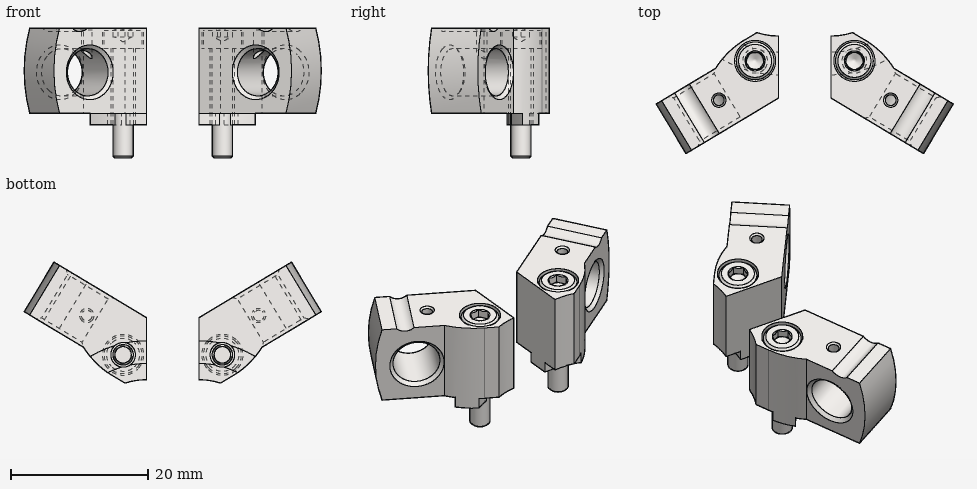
import cadquery as cq
import math


INNER_FACE_X = 3.8
BLOCK_HEIGHT = 12.45
ARM_ANGLE = 31.0
HALF_SPAN = 21.7
ARM_WIDTH = 8.45
END_BULGE = 0.95
APEX_X = 7.0
SHOULDER_LENGTH = 2.13
BOSS_END_ALONG = 5.65
BOSS_RADIUS = 12.5

RING_CENTER_Y = 19.35
RELIEF_RADIUS = 10.3
TAB_BACK_RADIUS = 12.65
TAB_FRONT_RADIUS = 15.95
TAB_HEIGHT = 1.7

BORE_DIAMETER = 6.9
BORE_RIM_DIAMETER = 8.0
BORE_ALONG = 9.68
BORE_Z = 6.0

GROOVE_DIAMETER = 3.6
GROOVE_DEPTH = 0.5
GROOVE_ALONG = 11.35

SET_HOLE_DIAMETER = 1.55
SET_HOLE_RIM_DIAMETER = 2.1
SET_HOLE_ALONG = 7.65

SCREW_X = 7.25
SCREW_Y = 5.42
HEAD_DIAMETER = 5.5
HEAD_HEIGHT = 3.0
HEAD_CHAMFER = 0.35
SHANK_DIAMETER = 3.0
SHANK_LENGTH = 16.0
SHANK_CHAMFER = 0.3
SOCKET_WIDTH = 2.5
SOCKET_DEPTH = 1.3
SOCKET_RIM_DIAMETER = 2.9
SOCKET_TIP_ANGLE = 120.0
COUNTERBORE_DIAMETER = 6.0
CLEARANCE_DIAMETER = 3.6

SIN = math.sin(math.radians(ARM_ANGLE))
COS = math.cos(math.radians(ARM_ANGLE))
ARM_LENGTH = (HALF_SPAN - INNER_FACE_X - ARM_WIDTH * SIN) / COS


def on_arm(along, across):
    """XY point at a distance along the front face and a distance behind it."""
    return INNER_FACE_X + along * COS + across * SIN, across * COS - along * SIN


def arm_frame(along, z):
    """Workplane on the front face: local X along the arm, local Y up, normal out of the face."""
    x, y = on_arm(along, 0)
    return cq.Workplane(cq.Plane(origin=(x, y, z), xDir=(COS, -SIN, 0), normal=(-SIN, -COS, 0)))


def relief_point(turn):
    """XY point on the relief arc, at an angle from the inner face plane."""
    return (
        INNER_FACE_X + RELIEF_RADIUS * math.sin(turn),
        RING_CENTER_Y - RELIEF_RADIUS * math.cos(turn),
    )


def block_outline():
    """Plan of the block, running on to the crest of the rounded end."""
    apex_turn = math.asin((APEX_X - INNER_FACE_X) / RELIEF_RADIUS)
    apex = relief_point(apex_turn)
    shoulder_end = (apex[0] + SHOULDER_LENGTH * COS, apex[1] - SHOULDER_LENGTH * SIN)
    return (
        cq.Workplane("XY")
        .moveTo(INNER_FACE_X, 0)
        .lineTo(*on_arm(ARM_LENGTH, 0))
        .lineTo(*on_arm(ARM_LENGTH, ARM_WIDTH))
        .lineTo(*on_arm(BOSS_END_ALONG, ARM_WIDTH))
        .radiusArc(shoulder_end, -BOSS_RADIUS)
        .lineTo(*apex)
        .threePointArc(relief_point(apex_turn / 2), relief_point(0))
        .close()
    )


def rounded_end():
    """Side profile of the arm, extruded through the width, whose far end is an arc."""
    far = ARM_LENGTH
    near = -far
    depth = 2 * far
    return (
        arm_frame(0, 0)
        .moveTo(near, 0)
        .lineTo(far - END_BULGE, 0)
        .threePointArc((far, BLOCK_HEIGHT / 2), (far - END_BULGE, BLOCK_HEIGHT))
        .lineTo(near, BLOCK_HEIGHT)
        .close()
        .extrude(-depth)
    )


def tab():
    """Curved tab under the block: a ring around the relief centre, trimmed to the outline."""
    ring = (
        cq.Workplane("XY", origin=(INNER_FACE_X, RING_CENTER_Y, -TAB_HEIGHT))
        .circle(TAB_FRONT_RADIUS)
        .circle(TAB_BACK_RADIUS)
        .extrude(TAB_HEIGHT)
    )
    return block_outline().extrude(-TAB_HEIGHT).intersect(ring)


def cone(x, y, z, bottom_diameter, top_diameter, height):
    """Upright cone or frustum standing at z."""
    return cq.Workplane(
        cq.Solid.makeCone(bottom_diameter / 2, top_diameter / 2, height, cq.Vector(x, y, z))
    )


def cross_bore():
    """Bore square to the arm, with a 45 degree rim at both ends."""
    rim = (BORE_RIM_DIAMETER - BORE_DIAMETER) / 2
    half = [
        (0, 0),
        (BORE_RIM_DIAMETER / 2, 0),
        (BORE_DIAMETER / 2, rim),
        (BORE_DIAMETER / 2, ARM_WIDTH - rim),
        (BORE_RIM_DIAMETER / 2, ARM_WIDTH),
        (0, ARM_WIDTH),
    ]
    x, y = on_arm(BORE_ALONG, 0)
    plane = cq.Plane(origin=(x, y, BORE_Z), xDir=(COS, -SIN, 0), normal=(0, 0, 1))
    return cq.Workplane(plane).polyline(half).close().revolve(360, (0, 0), (0, 1))


def groove():
    """Round-bottomed groove across the top of the arm."""
    axis_z = BLOCK_HEIGHT - GROOVE_DEPTH + GROOVE_DIAMETER / 2
    return arm_frame(GROOVE_ALONG, axis_z).circle(GROOVE_DIAMETER / 2).extrude(-ARM_WIDTH)


def set_screw_hole():
    """Small hole in the middle of the arm width, reaching the cross bore."""
    x, y = on_arm(SET_HOLE_ALONG, ARM_WIDTH / 2)
    hole = (
        cq.Workplane("XY", origin=(x, y, BORE_Z))
        .circle(SET_HOLE_DIAMETER / 2)
        .extrude(BLOCK_HEIGHT - BORE_Z)
    )
    rim = (SET_HOLE_RIM_DIAMETER - SET_HOLE_DIAMETER) / 2
    return hole.union(cone(x, y, BLOCK_HEIGHT - rim, SET_HOLE_DIAMETER, SET_HOLE_RIM_DIAMETER, rim))


def screw_hole():
    """Clearance hole through block and tab with a counterbore for the screw head."""
    clearance = (
        cq.Workplane("XY", origin=(SCREW_X, SCREW_Y, -TAB_HEIGHT))
        .circle(CLEARANCE_DIAMETER / 2)
        .extrude(TAB_HEIGHT + BLOCK_HEIGHT)
    )
    counterbore = (
        cq.Workplane("XY", origin=(SCREW_X, SCREW_Y, BLOCK_HEIGHT - HEAD_HEIGHT))
        .circle(COUNTERBORE_DIAMETER / 2)
        .extrude(HEAD_HEIGHT)
    )
    return clearance.union(counterbore)


def make_clamp():
    """Clamp block on the +X side."""
    block = block_outline().extrude(BLOCK_HEIGHT).intersect(rounded_end())
    block = block.union(tab())
    for cutter in (cross_bore(), groove(), set_screw_hole(), screw_hole()):
        block = block.cut(cutter)
    return block


def make_screw():
    """Cap screw on the +X side, its head flush with the top of the block."""
    shank_bottom = BLOCK_HEIGHT - HEAD_HEIGHT - SHANK_LENGTH
    shank = (
        cq.Workplane("XY", origin=(SCREW_X, SCREW_Y, shank_bottom))
        .circle(SHANK_DIAMETER / 2)
        .extrude(SHANK_LENGTH)
        .faces("<Z")
        .chamfer(SHANK_CHAMFER)
    )
    head = (
        cq.Workplane("XY", origin=(SCREW_X, SCREW_Y, BLOCK_HEIGHT - HEAD_HEIGHT))
        .circle(HEAD_DIAMETER / 2)
        .extrude(HEAD_HEIGHT)
        .faces(">Z")
        .chamfer(HEAD_CHAMFER)
    )
    socket_corners = SOCKET_WIDTH / math.cos(math.pi / 6)
    socket_bottom = BLOCK_HEIGHT - SOCKET_DEPTH
    socket = (
        cq.Workplane("XY", origin=(SCREW_X, SCREW_Y, socket_bottom))
        .polygon(6, socket_corners)
        .extrude(SOCKET_DEPTH)
    )
    tip_height = SOCKET_WIDTH / 2 / math.tan(math.radians(SOCKET_TIP_ANGLE / 2))
    tip = cone(SCREW_X, SCREW_Y, socket_bottom - tip_height, 0, SOCKET_WIDTH, tip_height)
    rim_height = (SOCKET_RIM_DIAMETER - SOCKET_WIDTH) / 2
    rim = cone(SCREW_X, SCREW_Y, BLOCK_HEIGHT - rim_height, SOCKET_WIDTH, SOCKET_RIM_DIAMETER, rim_height)
    return shank.union(head).cut(socket).cut(tip).cut(rim)


bodies = []
for make_body in (make_clamp, make_screw):
    body = make_body()
    bodies.append(body.val())
    bodies.append(body.mirror("YZ").val())

result = cq.Compound.makeCompound(bodies)